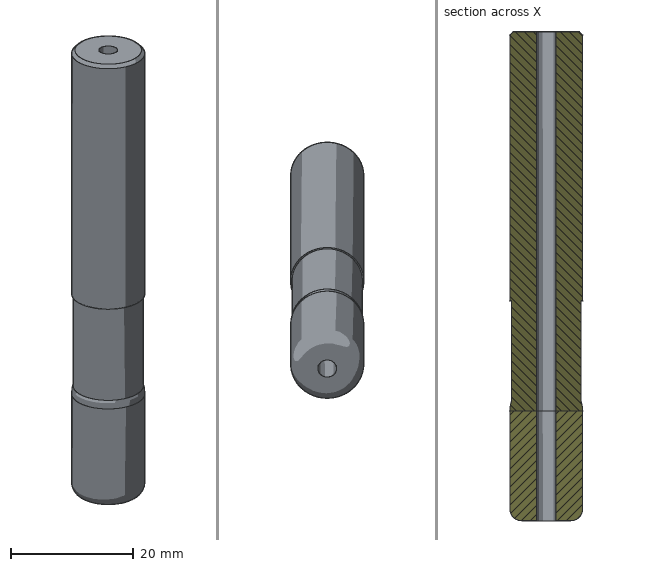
import cadquery as cq

total_height = 80.0
outer_radius = 6.0
neck_radius = 5.8
cap_height = 18.0
base_fillet = 2.0
collar_height = 1.0
collar_top_radius = 5.9
shoulder_height = 0.5
neck_top_z = 36.0
top_chamfer = 0.6
bore_radius = 1.5

collar_top_z = cap_height + collar_height
neck_bottom_z = collar_top_z + shoulder_height


def bore(bottom_z, height):
    """Cylinder along Z that is cut away to form the bore."""
    return cq.Workplane("XY").workplane(offset=bottom_z).circle(bore_radius).extrude(height)


def make_cap():
    """Lower cylinder with a rounded base and a round through bore."""
    cap = cq.Workplane("XY").circle(outer_radius).extrude(cap_height)
    cap = cap.faces("<Z").edges().fillet(base_fillet)
    return cap.cut(bore(0, cap_height))


def make_shaft():
    """Upper stepped shaft: tapered collar, shoulder, neck and wide chamfered end."""
    profile = [
        (0, cap_height),
        (outer_radius, cap_height),
        (collar_top_radius, collar_top_z),
        (neck_radius, neck_bottom_z),
        (neck_radius, neck_top_z),
        (outer_radius, neck_top_z),
        (outer_radius, total_height),
        (0, total_height),
    ]
    shaft = (
        cq.Workplane("XZ")
        .polyline(profile)
        .close()
        .revolve(360, (0, 0), (0, 1))
    )
    shaft = shaft.faces(">Z").edges().chamfer(top_chamfer)
    return shaft.cut(bore(cap_height, total_height - cap_height))


cap = make_cap()
shaft = make_shaft()

result = cq.Compound.makeCompound([cap.val(), shaft.val()])